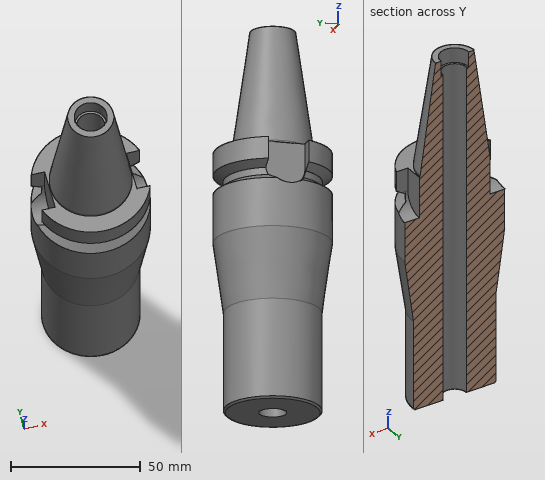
import cadquery as cq

total_length = 153.4
gauge_height = 105.1
flange_top = 104.3
body_taper_top = 68.3
nose_length = 40.2

flange_radius = 23.0
nose_radius = 19.0
shank_base_radius = 16.0
shank_tip_radius = 8.9
nose_chamfer = 0.8

groove_radius = 19.2
groove_upper_edge = 95.5
groove_lower_edge = 87.7
groove_side_height = 2.5

bore_radius = 5.4
counterbore_radius = 6.3
counterbore_depth = 6.6

slot_width = 16.1
slot_bottom = 86.0
slot_floor_offset = 16.3


def turned_body():
    """Revolve the outer profile, given as radius and height, about Z."""
    profile = [
        (0, 0),
        (nose_radius - nose_chamfer, 0),
        (nose_radius, nose_chamfer),
        (nose_radius, nose_length),
        (flange_radius, body_taper_top),
        (flange_radius, groove_lower_edge),
        (groove_radius, groove_lower_edge + groove_side_height),
        (groove_radius, groove_upper_edge - groove_side_height),
        (flange_radius, groove_upper_edge),
        (flange_radius, flange_top),
        (shank_base_radius, flange_top),
        (shank_base_radius, gauge_height),
        (shank_tip_radius, total_length),
        (0, total_length),
    ]
    return cq.Workplane("XZ").polyline(profile).close().revolve(360, (0, 0), (0, 1))


def stepped_bore():
    """Through bore joined to the wider counterbore at the tip."""
    bore = cq.Workplane("XY").circle(bore_radius).extrude(total_length)
    counterbore = (
        cq.Workplane("XY", origin=(0, 0, total_length))
        .circle(counterbore_radius)
        .extrude(-counterbore_depth)
    )
    return bore.union(counterbore)


def drive_slot(side):
    """Slot cutter on the +X (side = 1) or -X (side = -1) flank."""
    half_width = slot_width / 2
    arc_center = slot_bottom + half_width
    return (
        cq.Workplane("YZ", origin=(side * slot_floor_offset, 0, 0))
        .moveTo(-half_width, flange_top)
        .lineTo(-half_width, arc_center)
        .threePointArc((0, slot_bottom), (half_width, arc_center))
        .lineTo(half_width, flange_top)
        .close()
        .extrude(side * flange_radius)
    )


result = turned_body().cut(stepped_bore())
for side in (-1, 1):
    result = result.cut(drive_slot(side))